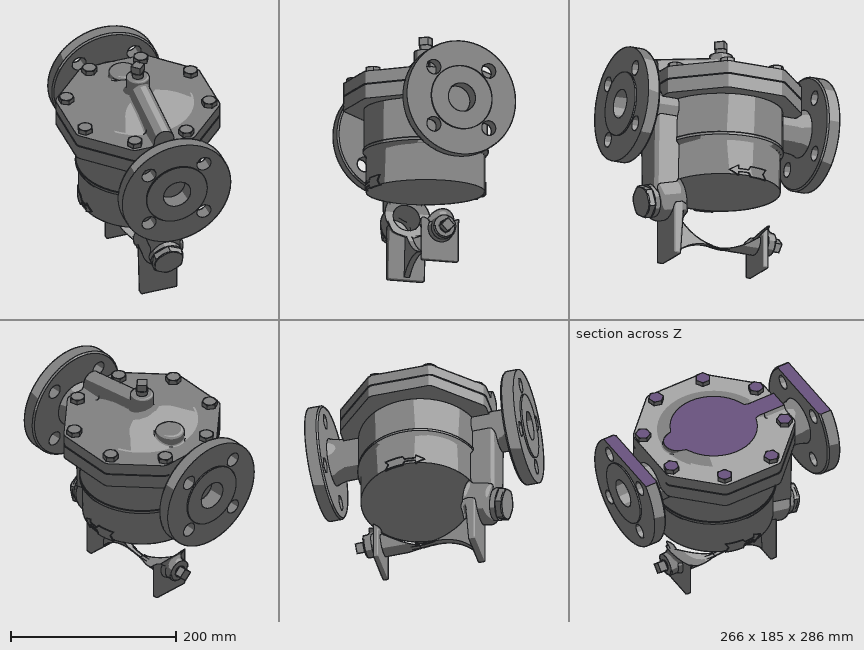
import cadquery as cq
import math


INLET_FACE_X = -128.0
OUTLET_FACE_X = 138.0
PIPE_FLANGE_D = 140.0
PIPE_FLANGE_THICKNESS = 16.5
PIPE_FLANGE_BEVEL = 2.0
RAISED_FACE_D = 78.0
RAISED_FACE_HEIGHT = 2.0
PIPE_BORE_D = 35.0
PIPE_BORE_DEPTH = 20.0
BOLT_CIRCLE_D = 100.0
PIPE_BOLT_HOLE_D = 18.0
PIPE_BOLT_COUNT = 4
NECK_D = 51.0
NECK_FLARE_D = 58.5
NECK_FLARE_LENGTH = 17.0
NECK_FLARE_RADIUS = 40.0

BODY_UPPER_D = 150.0
BODY_BAND_D = 151.5
BODY_LOWER_D = 144.0
BAND_TOP_Z = -39.5
BAND_LOW_Z = -42.6
BAND_CONE_FOOT_Z = -46.3
BAND_CONE_FOOT_D = 146.4
BAND_FILLET_END_Z = -48.8
BAND_FILLET_RADIUS = 4.0
BODY_BOTTOM_Z = -91.7
OCTAGON_SIDES = 8
OCTAGON_WIDTH = 185.0
OCTAGON_CORNER_RADIUS = 10.0
OCTAGON_INLET_X = -89.8
FLANGE_BOTTOM_Z = 9.8
FLANGE_TOP_Z = 43.5
GASKET_Z = 27.7
GASKET_THICKNESS = 1.0
GASKET_INSET = 0.5

HEXAGON_SIDES = 6
SCREW_COUNT = 8
SCREW_CIRCLE_RADIUS = 86.6
SCREW_FIRST_ANGLE = 180 / SCREW_COUNT
SCREW_HEAD_TURN = -67.5
SCREW_FLATS = 16.4
SCREW_HEAD_HEIGHT = 6.1
SCREW_HEAD_BEVEL = 1.4

DOME_RADIUS = 157.0
DOME_CENTRE_Z = -98.4
DOME_BASE_RADIUS = 66.0
DOME_RIM_RADIUS = 68.4
TOP_BOSS_D = 28.0
TOP_BOSS_TOP_Z = 82.6
TOP_BOSS_ROUND = 2.0
TOP_BOSS_FILLET_Z = 66.8
TOP_BOSS_FLARE_RADIUS = 22.4
TOP_BOSS_FILLET_RADIUS = 10.0

PLUG_SQUARE = 12.0
PLUG_HEAD_LENGTH = 9.5
PLUG_TOP_Z = 99.0
PLUG_STEM_D = 14.8
PLUG_STEM_TAPER = 0.7

VENT_RADIUS = 12.5
VENT_TILT = 10.0
VENT_END_X = OCTAGON_WIDTH / 2
VENT_END_AXIS_Z = 50.1
VENT_DOME_FILLET = 2.7
VENT_FILLET_RADIUS = 5.5
VENT_FILLET_START_X = 64.0

SIDE_BOSS_X = -51.0
SIDE_BOSS_D = 35.0
SIDE_BOSS_TOP_Z = 57.1
SIDE_BOSS_ROUND = 3.5
SIDE_BOSS_BASE_FILLET = 2.0

BOWL_RADIUS = BODY_LOWER_D / 2
BOWL_CENTRE_Z = BODY_BOTTOM_Z

DUCT_TOP_Z = -12.0
DUCT_TOP_WIDTH = 44.9
DUCT_DRAFT = 1.5
DUCT_END_X = 99.6
DUCT_CORNER_RADIUS = 6.3
DUCT_BOTTOM_Z = -112.0

STRAINER_TILT = 15.0
STRAINER_RADIUS = 25.5
STRAINER_FILLET = 6.0
STRAINER_SHOULDER = 97.8
STRAINER_SHOULDER_ROUND = 6.0
STRAINER_NECK_D = 40.0
STRAINER_HEX_START = 104.5
STRAINER_HEX_END = 113.3
STRAINER_HEX_FLATS = 35.0
STRAINER_HEX_BEVEL = 2.0
STRAINER_BORE_D = 34.4
STRAINER_BORE_END = 111.0

FOOT_WIDTH = 46.6
FOOT_BOTTOM_Z = -187.0
FOOT_ROUND = 2.0
FOOT_TOP_Z = -112.0
INLET_FOOT_X = -53.0
INLET_FOOT_THICKNESS = 7.0
INLET_FOOT_FILLET = 2.0
OUTLET_FOOT_OUTER_X = 75.4
OUTLET_FOOT_THICKNESS = 8.6
OUTLET_FOOT_DRAFT = 4.0
OUTLET_FOOT_FILLET = 3.5
WEB_THICKNESS = 7.0
WEB_ARC_RADIUS = 57.0
WEB_TIP_REACH = 8.0
WEB_ARC_CENTRE = (22.0, -219.0)

DRAIN_Z = -147.9
DRAIN_D = 28.0
DRAIN_FACE_X = -68.4
DRAIN_BEVEL = 1.5
DRAIN_FLARE_START_X = -58.4
DRAIN_TAIL_RADIUS = 16.2
DRAIN_FILLET = 6.0
DRAIN_FILLET_REACH = 40.0
DRAIN_PLUG_END_X = -79.3

STRIP_THICKNESS = 1.0
STRIP_WIDTH = 5.0
STRIP_START_X = -12.0
STRIP_END_X = 20.0

ARROW_HEIGHT = 1.2
ARROW_CENTRE_Z = -86.3
ARROW_TAIL_X = -25.0
ARROW_NOTCH_X = -20.8
ARROW_FLETCH_END_X = -2.4
ARROW_SHAFT_START_X = 0.4
ARROW_HEAD_X = 13.6
ARROW_TIP_X = 24.5
ARROW_HALF_HEIGHT = 6.4
ARROW_SHAFT_HALF_HEIGHT = 1.9

SELECTION_MARGIN = 0.5


def cylinder_along_x(radius, start_x, end_x, z=0.0):
    length = end_x - start_x
    return cq.Workplane("YZ", origin=(start_x, 0, z)).circle(radius).extrude(length)


def box(x_range, y_range, z_range):
    corner = (x_range[0], y_range[0], z_range[0])
    size = (x_range[1] - x_range[0], y_range[1] - y_range[0], z_range[1] - z_range[0])
    return cq.Workplane("XY", origin=corner).box(*size, centered=False)


def selection_box(x_range, y_range, z_range):
    """Picks the edges whose centres lie in the given ranges, widened a little."""
    low, high = zip(x_range, y_range, z_range)
    return cq.selectors.BoxSelector(
        tuple(value - SELECTION_MARGIN for value in low),
        tuple(value + SELECTION_MARGIN for value in high),
    )


def revolve_about_x(profile, z=0.0):
    return profile.close().revolve(360, (0, 0, 0), (1, 0, 0)).translate((0, 0, z))


def revolve_about_z(profile):
    return profile.close().revolve(360, (0, 0, 0), (0, 1, 0))


def hexagon_head(flats, height, bevel):
    """Hexagon standing on z = 0 with its top corners turned off by a cone."""
    corner_d = flats / math.cos(math.radians(180 / HEXAGON_SIDES))
    turned = cq.Workplane("XY").circle(corner_d / 2).extrude(height).faces(">Z").chamfer(bevel / 2, bevel)
    return cq.Workplane("XY").polygon(HEXAGON_SIDES, corner_d).extrude(height).intersect(turned)


def square_plug(length):
    """Plug standing on z = 0: tapered stem below a square head set on its corner."""
    stem_length = length - PLUG_HEAD_LENGTH
    stem = (
        cq.Workplane("XY")
        .circle(PLUG_STEM_D / 2 - PLUG_STEM_TAPER)
        .workplane(offset=stem_length)
        .circle(PLUG_STEM_D / 2)
        .loft()
    )
    head = (
        cq.Workplane("XY", origin=(0, 0, stem_length))
        .rect(PLUG_SQUARE, PLUG_SQUARE)
        .extrude(PLUG_HEAD_LENGTH)
        .rotate((0, 0, 0), (0, 0, 1), 45)
    )
    return stem.union(head)


def pipe_connection(face_distance):
    """Flange and flared neck, pointing along +X with its sealing face at face_distance."""
    raised_x = face_distance - RAISED_FACE_HEIGHT
    back_x = raised_x - PIPE_FLANGE_THICKNESS
    flare_x = back_x - NECK_FLARE_LENGTH
    flange = cylinder_along_x(PIPE_FLANGE_D / 2, back_x, raised_x).faces("<X").chamfer(PIPE_FLANGE_BEVEL)
    raised_face = cylinder_along_x(RAISED_FACE_D / 2, raised_x, face_distance)
    neck = revolve_about_x(
        cq.Workplane("XZ")
        .lineTo(0, NECK_D / 2)
        .lineTo(flare_x, NECK_D / 2)
        .radiusArc((back_x, NECK_FLARE_D / 2), -NECK_FLARE_RADIUS)
        .lineTo(back_x, 0)
    )
    bolt_holes = (
        cq.Workplane("YZ", origin=(back_x, 0, 0))
        .polarArray(BOLT_CIRCLE_D / 2, 180 / PIPE_BOLT_COUNT, 360, PIPE_BOLT_COUNT)
        .circle(PIPE_BOLT_HOLE_D / 2)
        .extrude(PIPE_FLANGE_THICKNESS)
    )
    bore = cylinder_along_x(PIPE_BORE_D / 2, face_distance - PIPE_BORE_DEPTH, face_distance)
    return flange.union(raised_face).union(neck).cut(bolt_holes).cut(bore)


def octagon(width, bottom_z, top_z):
    """Octagonal plate with rounded corners, trimmed short on the inlet side."""
    half_side_angle = 180 / OCTAGON_SIDES
    corner_d = width / math.cos(math.radians(half_side_angle))
    plate = (
        cq.Workplane("XY", origin=(0, 0, bottom_z))
        .polygon(OCTAGON_SIDES, corner_d)
        .extrude(top_z - bottom_z)
        .rotate((0, 0, 0), (0, 0, 1), half_side_angle)
    )
    kept = box((OCTAGON_INLET_X, width), (-width, width), (bottom_z, top_z))
    return plate.intersect(kept).edges("|Z").fillet(OCTAGON_CORNER_RADIUS)


def cover_flange():
    gasket_bottom = GASKET_Z - GASKET_THICKNESS / 2
    gasket_top = GASKET_Z + GASKET_THICKNESS / 2
    lower = octagon(OCTAGON_WIDTH, FLANGE_BOTTOM_Z, gasket_bottom)
    gasket = octagon(OCTAGON_WIDTH - 2 * GASKET_INSET, gasket_bottom, gasket_top)
    upper = octagon(OCTAGON_WIDTH, gasket_top, FLANGE_TOP_Z)
    return lower.union(gasket).union(upper)


def cover_screws():
    """Screw heads; each one is the previous head turned about the body axis."""
    head = hexagon_head(SCREW_FLATS, SCREW_HEAD_HEIGHT, SCREW_HEAD_BEVEL)
    head = head.rotate((0, 0, 0), (0, 0, 1), SCREW_HEAD_TURN)
    head = head.translate((SCREW_CIRCLE_RADIUS, 0, FLANGE_TOP_Z))
    screws = cq.Workplane("XY")
    for index in range(SCREW_COUNT):
        angle = SCREW_FIRST_ANGLE + index * 360 / SCREW_COUNT
        screws = screws.add(head.rotate((0, 0, 0), (0, 0, 1), angle))
    return screws.combine()


def body():
    upper_r = BODY_UPPER_D / 2
    band_r = BODY_BAND_D / 2
    lower_r = BODY_LOWER_D / 2
    band_step = band_r - upper_r
    return revolve_about_z(
        cq.Workplane("XZ")
        .moveTo(0, BODY_BOTTOM_Z)
        .lineTo(lower_r, BODY_BOTTOM_Z)
        .lineTo(lower_r, BAND_FILLET_END_Z)
        .radiusArc((BAND_CONE_FOOT_D / 2, BAND_CONE_FOOT_Z), BAND_FILLET_RADIUS)
        .lineTo(band_r, BAND_LOW_Z)
        .lineTo(band_r, BAND_TOP_Z)
        .lineTo(upper_r, BAND_TOP_Z + band_step)
        .lineTo(upper_r, FLANGE_BOTTOM_Z)
        .lineTo(0, FLANGE_BOTTOM_Z)
    )


def dome_height(radius):
    return DOME_CENTRE_Z + math.sqrt(DOME_RADIUS**2 - radius**2)


def dome_and_top_boss():
    boss_r = TOP_BOSS_D / 2
    flare_z = dome_height(TOP_BOSS_FLARE_RADIUS)
    mid_r = (TOP_BOSS_FLARE_RADIUS + DOME_BASE_RADIUS) / 2
    return revolve_about_z(
        cq.Workplane("XZ")
        .moveTo(0, FLANGE_TOP_Z)
        .lineTo(DOME_RIM_RADIUS, FLANGE_TOP_Z)
        .lineTo(DOME_BASE_RADIUS, dome_height(DOME_BASE_RADIUS))
        .threePointArc((mid_r, dome_height(mid_r)), (TOP_BOSS_FLARE_RADIUS, flare_z))
        .radiusArc((boss_r, TOP_BOSS_FILLET_Z), TOP_BOSS_FILLET_RADIUS)
        .lineTo(boss_r, TOP_BOSS_TOP_Z - TOP_BOSS_ROUND)
        .radiusArc((boss_r - TOP_BOSS_ROUND, TOP_BOSS_TOP_Z), -TOP_BOSS_ROUND)
        .lineTo(0, TOP_BOSS_TOP_Z)
    )


def vent_passage():
    """Tilted round passage on a straight-sided wall that stands on the dome and flange."""
    rise = VENT_END_X * math.tan(math.radians(VENT_TILT))
    start_z = VENT_END_AXIS_Z + rise
    run = 2 * VENT_END_X
    pipe = (
        cylinder_along_x(VENT_RADIUS, 0, run)
        .rotate((0, 0, 0), (0, 1, 0), VENT_TILT)
        .translate((0, 0, start_z))
        .intersect(box((0, VENT_END_X), (-run, run), (FLANGE_TOP_Z, run)))
    )
    wall = (
        cq.Workplane("XZ")
        .moveTo(0, FLANGE_TOP_Z)
        .lineTo(VENT_END_X, FLANGE_TOP_Z)
        .lineTo(VENT_END_X, VENT_END_AXIS_Z)
        .lineTo(0, start_z)
        .close()
        .extrude(VENT_RADIUS, both=True)
    )
    outer_y = VENT_RADIUS + VENT_FILLET_RADIUS
    foot_fillets = box(
        (VENT_FILLET_START_X, VENT_END_X),
        (-outer_y, outer_y),
        (FLANGE_TOP_Z, FLANGE_TOP_Z + VENT_FILLET_RADIUS),
    )
    for side in (-1, 1):
        hollow = cylinder_along_x(
            VENT_FILLET_RADIUS, VENT_FILLET_START_X, VENT_END_X, FLANGE_TOP_Z + VENT_FILLET_RADIUS
        )
        foot_fillets = foot_fillets.cut(hollow.translate((0, side * outer_y, 0)))
    return pipe.union(wall).union(foot_fillets)


def dome_with_vent():
    """Dome and vent passage, filleted where the passage walls stand on the dome."""
    joined = dome_and_top_boss().union(vent_passage())
    seams = selection_box(
        (TOP_BOSS_FLARE_RADIUS, VENT_FILLET_START_X),
        (-VENT_RADIUS, VENT_RADIUS),
        (dome_height(VENT_FILLET_START_X), dome_height(TOP_BOSS_FLARE_RADIUS)),
    )
    return joined.edges("%CIRCLE").edges(seams).fillet(VENT_DOME_FILLET)


def side_boss():
    radius = SIDE_BOSS_D / 2
    base_r = radius + SIDE_BOSS_BASE_FILLET
    profile = (
        cq.Workplane("XZ")
        .moveTo(0, FLANGE_TOP_Z)
        .lineTo(base_r, FLANGE_TOP_Z)
        .radiusArc((radius, FLANGE_TOP_Z + SIDE_BOSS_BASE_FILLET), SIDE_BOSS_BASE_FILLET)
        .lineTo(radius, SIDE_BOSS_TOP_Z - SIDE_BOSS_ROUND)
        .radiusArc((radius - SIDE_BOSS_ROUND, SIDE_BOSS_TOP_Z), -SIDE_BOSS_ROUND)
        .lineTo(0, SIDE_BOSS_TOP_Z)
    )
    boss = revolve_about_z(profile).translate((SIDE_BOSS_X, 0, 0))
    return boss.union(side_boss_dome_fillet())


def side_boss_dome_fillet():
    """Fillet where the side boss stands on the dome."""
    radius = SIDE_BOSS_D / 2
    dome_sphere = cq.Workplane("XY", origin=(0, 0, DOME_CENTRE_Z)).sphere(DOME_RADIUS)
    post = (
        cq.Workplane("XY", origin=(SIDE_BOSS_X, 0, 0))
        .circle(radius)
        .extrude(2 * SIDE_BOSS_TOP_Z)
    )
    near_x = SIDE_BOSS_X + radius
    far_x = SIDE_BOSS_X - radius
    seam = selection_box((far_x, near_x), (-radius, radius), (dome_height(far_x), dome_height(near_x)))
    filleted = dome_sphere.union(post).edges(seam).fillet(SIDE_BOSS_BASE_FILLET)
    reach = (
        cq.Workplane("XY", origin=(SIDE_BOSS_X, 0, FLANGE_TOP_Z))
        .circle(radius + SIDE_BOSS_BASE_FILLET)
        .extrude(SIDE_BOSS_TOP_Z - SIDE_BOSS_ROUND - FLANGE_TOP_Z)
    )
    return filleted.intersect(reach)


def flow_arrows():
    radius = BODY_LOWER_D / 2
    half_outline = [
        (ARROW_NOTCH_X, 0),
        (ARROW_TAIL_X, ARROW_HALF_HEIGHT),
        (ARROW_FLETCH_END_X, ARROW_HALF_HEIGHT),
        (ARROW_SHAFT_START_X, ARROW_SHAFT_HALF_HEIGHT),
        (ARROW_HEAD_X, ARROW_SHAFT_HALF_HEIGHT),
        (ARROW_HEAD_X, ARROW_HALF_HEIGHT),
        (ARROW_TIP_X, 0),
    ]
    shape = (
        cq.Workplane("XZ", origin=(0, 0, ARROW_CENTRE_Z))
        .polyline(half_outline)
        .mirrorX()
        .extrude(BODY_UPPER_D, both=True)
    )
    band = (
        cq.Workplane("XY", origin=(0, 0, ARROW_CENTRE_Z - ARROW_HALF_HEIGHT))
        .circle(radius + ARROW_HEIGHT)
        .circle(radius - ARROW_HEIGHT)
        .extrude(2 * ARROW_HALF_HEIGHT)
    )
    return band.intersect(shape)


def bowl_height(x, y):
    """Height of the lower half of the bowl outline at a point."""
    return BOWL_CENTRE_Z - math.sqrt(BOWL_RADIUS**2 - x**2 - y**2)


def bowl():
    return cq.Workplane("XY", origin=(0, 0, BOWL_CENTRE_Z)).sphere(BOWL_RADIUS)


def outlet_duct():
    """Duct standing on the strainer boss; its sides draw in toward the bottom."""
    height = DUCT_TOP_Z - DUCT_BOTTOM_Z
    top_half = DUCT_TOP_WIDTH / 2
    bottom_half = top_half - height * math.tan(math.radians(DUCT_DRAFT))
    duct = (
        cq.Workplane("YZ")
        .moveTo(-bottom_half, DUCT_BOTTOM_Z)
        .lineTo(bottom_half, DUCT_BOTTOM_Z)
        .lineTo(top_half, DUCT_TOP_Z)
        .lineTo(-top_half, DUCT_TOP_Z)
        .close()
        .extrude(DUCT_END_X)
    )
    return duct.faces(">X").edges("not |Y").fillet(DUCT_CORNER_RADIUS)


def tilt_to_strainer_axis(shape):
    """Moves a shape built along +X at the origin onto the strainer axis."""
    return shape.rotate((0, 0, 0), (0, 1, 0), STRAINER_TILT).translate((0, 0, BOWL_CENTRE_Z))


def strainer_boss():
    """Round boss filleted to the bowl outline, rounded at its shoulder, with a hexagon cap."""
    fillet_centre_r = STRAINER_RADIUS + STRAINER_FILLET
    fillet_centre_x = math.sqrt((BOWL_RADIUS + STRAINER_FILLET) ** 2 - fillet_centre_r**2)
    contact = BOWL_RADIUS / (BOWL_RADIUS + STRAINER_FILLET)
    contact_x = fillet_centre_x * contact
    contact_r = fillet_centre_r * contact
    round_start = STRAINER_SHOULDER - STRAINER_SHOULDER_ROUND
    neck_r = STRAINER_NECK_D / 2
    boss = revolve_about_x(
        cq.Workplane("XZ")
        .lineTo(contact_x, contact_r)
        .radiusArc((fillet_centre_x, STRAINER_RADIUS), -STRAINER_FILLET)
        .lineTo(round_start, STRAINER_RADIUS)
        .radiusArc((STRAINER_SHOULDER, STRAINER_RADIUS - STRAINER_SHOULDER_ROUND), STRAINER_SHOULDER_ROUND)
        .lineTo(STRAINER_SHOULDER, 0)
    )
    neck = cylinder_along_x(neck_r, BOWL_RADIUS, STRAINER_HEX_START)
    cap = hexagon_head(STRAINER_HEX_FLATS, STRAINER_HEX_END - STRAINER_HEX_START, STRAINER_HEX_BEVEL)
    cap = cap.rotate((0, 0, 0), (0, 1, 0), 90).translate((STRAINER_HEX_START, 0, 0))
    return tilt_to_strainer_axis(boss.union(neck).union(cap))


def strainer_bore():
    return tilt_to_strainer_axis(cylinder_along_x(STRAINER_BORE_D / 2, 0, STRAINER_BORE_END))


def outlet_foot():
    """Drafted plate filleted to the bowl outline, standing under the strainer boss."""
    inner_x = OUTLET_FOOT_OUTER_X - OUTLET_FOOT_THICKNESS
    draft_run = (FOOT_TOP_Z - FOOT_BOTTOM_Z) * math.tan(math.radians(OUTLET_FOOT_DRAFT))
    top_inner_x = inner_x - draft_run
    plate = (
        cq.Workplane("XZ")
        .moveTo(inner_x, FOOT_BOTTOM_Z)
        .lineTo(OUTLET_FOOT_OUTER_X, FOOT_BOTTOM_Z)
        .lineTo(OUTLET_FOOT_OUTER_X, FOOT_TOP_Z)
        .lineTo(top_inner_x, FOOT_TOP_Z)
        .close()
        .extrude(FOOT_WIDTH / 2, both=True)
        .edges("not >Z")
        .fillet(FOOT_ROUND)
    )
    bowl_x_at_top = math.sqrt(BOWL_RADIUS**2 - (FOOT_TOP_Z - BOWL_CENTRE_Z) ** 2)
    seam = selection_box(
        (top_inner_x, bowl_x_at_top), (-FOOT_WIDTH, FOOT_WIDTH), (bowl_height(top_inner_x, 0), FOOT_TOP_Z)
    )
    return bowl().union(plate).edges(seam).fillet(OUTLET_FOOT_FILLET)


def outlet_web():
    """Web from the outlet foot along the bowl outline, hollowed below by an arc."""
    inner_x = OUTLET_FOOT_OUTER_X - OUTLET_FOOT_THICKNESS
    centre_x, centre_z = WEB_ARC_CENTRE
    tip_x = centre_x - WEB_TIP_REACH
    web = box(
        (tip_x, inner_x + FOOT_ROUND),
        (-WEB_THICKNESS / 2, WEB_THICKNESS / 2),
        (FOOT_BOTTOM_Z + FOOT_ROUND, FOOT_TOP_Z),
    )
    hollow = (
        cq.Workplane("XZ", origin=(centre_x, 0, centre_z))
        .circle(WEB_ARC_RADIUS)
        .extrude(WEB_THICKNESS, both=True)
    )
    return web.cut(hollow)


def inlet_foot():
    """Upright plate filleted to the bowl outline."""
    half = FOOT_WIDTH / 2
    back_x = INLET_FOOT_X + INLET_FOOT_THICKNESS
    plate = box((INLET_FOOT_X, back_x), (-half, half), (FOOT_BOTTOM_Z, FOOT_TOP_Z))
    plate = plate.edges("not >Z").fillet(FOOT_ROUND)
    seam = selection_box(
        (INLET_FOOT_X, back_x), (-half, half), (bowl_height(back_x, 0), bowl_height(INLET_FOOT_X, half))
    )
    return bowl().union(plate).edges(seam).fillet(INLET_FOOT_FILLET)


def drain_boss():
    """Boss in front of the inlet foot, with a tail that runs back under the bowl outline."""
    radius = DRAIN_D / 2
    boss = revolve_about_x(
        cq.Workplane("XZ")
        .moveTo(DRAIN_FACE_X, 0)
        .lineTo(DRAIN_FACE_X, radius - DRAIN_BEVEL)
        .lineTo(DRAIN_FACE_X + DRAIN_BEVEL, radius)
        .lineTo(DRAIN_FLARE_START_X, radius)
        .lineTo(INLET_FOOT_X, DRAIN_TAIL_RADIUS)
        .lineTo(0, DRAIN_TAIL_RADIUS)
        .lineTo(0, 0),
        DRAIN_Z,
    )
    plug = square_plug(DRAIN_FACE_X - DRAIN_PLUG_END_X)
    plug = plug.rotate((0, 0, 0), (0, 1, 0), -90).translate((DRAIN_FACE_X, 0, DRAIN_Z))
    return boss.union(plug)


def drain_fillet():
    """Fillet between the drain boss and the bowl outline, above the boss and ahead of the foot."""
    radius = DRAIN_D / 2
    half = FOOT_WIDTH / 2
    end_x = -DRAIN_FILLET_REACH
    long_boss = cylinder_along_x(radius, 2 * DRAIN_FACE_X, end_x, DRAIN_Z)
    seam = selection_box((-BOWL_RADIUS, end_x), (-radius, radius), (DRAIN_Z - radius / 2, DRAIN_Z + radius))
    filleted = bowl().union(long_boss).edges(seam).fillet(DRAIN_FILLET)
    return filleted.intersect(box((DRAIN_FACE_X, INLET_FOOT_X), (-half, half), (DRAIN_Z, BOWL_CENTRE_Z)))


def joining_strip():
    ring = (
        cq.Workplane("XZ", origin=(0, STRIP_WIDTH / 2, BOWL_CENTRE_Z))
        .circle(BOWL_RADIUS + STRIP_THICKNESS)
        .circle(BOWL_RADIUS - STRIP_THICKNESS)
        .extrude(STRIP_WIDTH)
    )
    lowest_z = BOWL_CENTRE_Z - 2 * BOWL_RADIUS
    stretch = box((STRIP_START_X, STRIP_END_X), (-STRIP_WIDTH, STRIP_WIDTH), (lowest_z, BOWL_CENTRE_Z))
    return ring.intersect(stretch)


def lower_parts():
    parts = outlet_duct().union(strainer_boss()).union(outlet_foot()).union(outlet_web())
    parts = parts.union(inlet_foot()).union(drain_boss()).union(drain_fillet())
    parts = parts.union(joining_strip())
    return parts.cut(bowl()).cut(strainer_bore())


def top_plug():
    return square_plug(PLUG_TOP_Z - TOP_BOSS_TOP_Z).translate((0, 0, TOP_BOSS_TOP_Z))


outlet = pipe_connection(OUTLET_FACE_X)
inlet = pipe_connection(-INLET_FACE_X).rotate((0, 0, 0), (0, 0, 1), 180)

result = lower_parts().union(body()).union(flow_arrows())
result = result.union(cover_flange()).union(cover_screws())
result = result.union(dome_with_vent()).union(side_boss()).union(top_plug())
result = result.union(outlet).union(inlet)